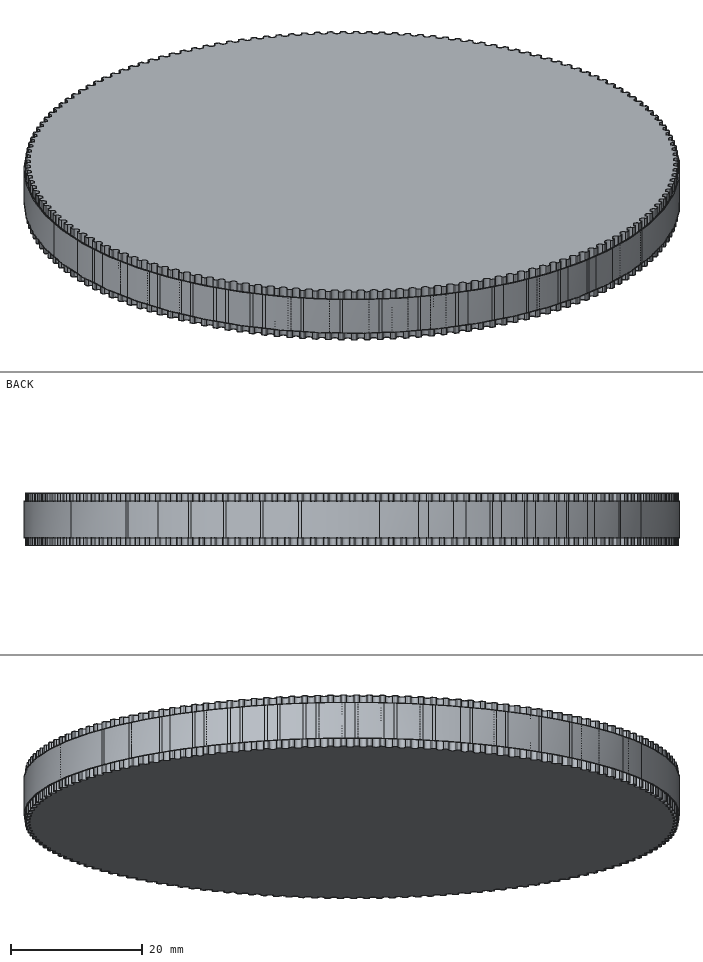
import cadquery as cq
import math

thickness = 8.0
tooth_count = 157
pitch_angle = 2 * math.pi / tooth_count
first_groove_angle = -math.pi / 2

outer_radius = 50.0
band_thickness = 0.25
band_height = 5.6

crest_radius = outer_radius - band_thickness
groove_depth = 0.75
groove_bottom_radius = 0.57
tooth_corner_radius = 0.2


def place(radial, sideways, angle):
    """Point at a radial and a sideways distance from the axis, turned to the angle."""
    return (
        radial * math.cos(angle) - sideways * math.sin(angle),
        radial * math.sin(angle) + sideways * math.cos(angle),
    )


def toothed_wheel():
    """Solid wheel whose rim is cut by equal grooves over the full thickness."""
    root_radius = crest_radius - groove_depth
    bottom_center = root_radius + groove_bottom_radius

    corner_side = groove_bottom_radius + tooth_corner_radius
    corner_distance = crest_radius - tooth_corner_radius
    corner_angle = math.asin(corner_side / corner_distance)
    corner_radial = corner_distance * math.cos(corner_angle)
    middle_turn = (math.pi / 2 + corner_angle) / 2
    corner_middle_radial = corner_radial + tooth_corner_radius * math.sin(middle_turn)
    corner_middle_side = corner_side - tooth_corner_radius * math.cos(middle_turn)

    start_angle = first_groove_angle - corner_angle
    outline = cq.Workplane("XY").moveTo(*place(crest_radius, 0, start_angle))
    for groove in range(tooth_count):
        angle = first_groove_angle + groove * pitch_angle
        next_start = start_angle + (groove + 1) * pitch_angle
        crest_middle = angle + pitch_angle / 2
        outline = (
            outline
            .threePointArc(
                place(corner_middle_radial, -corner_middle_side, angle),
                place(corner_radial, -groove_bottom_radius, angle),
            )
            .lineTo(*place(bottom_center, -groove_bottom_radius, angle))
            .threePointArc(
                place(root_radius, 0, angle),
                place(bottom_center, groove_bottom_radius, angle),
            )
            .lineTo(*place(corner_radial, groove_bottom_radius, angle))
            .threePointArc(
                place(corner_middle_radial, corner_middle_side, angle),
                place(crest_radius, 0, angle + corner_angle),
            )
            .threePointArc(
                place(crest_radius, 0, crest_middle),
                place(crest_radius, 0, next_start),
            )
        )
    return outline.close().extrude(thickness)


def crest_band():
    """Thin ring resting on the tooth crests and closing the grooves outward."""
    return (
        cq.Workplane("XY")
        .workplane(offset=(thickness - band_height) / 2)
        .circle(outer_radius)
        .circle(crest_radius)
        .extrude(band_height)
    )


result = toothed_wheel().union(crest_band())